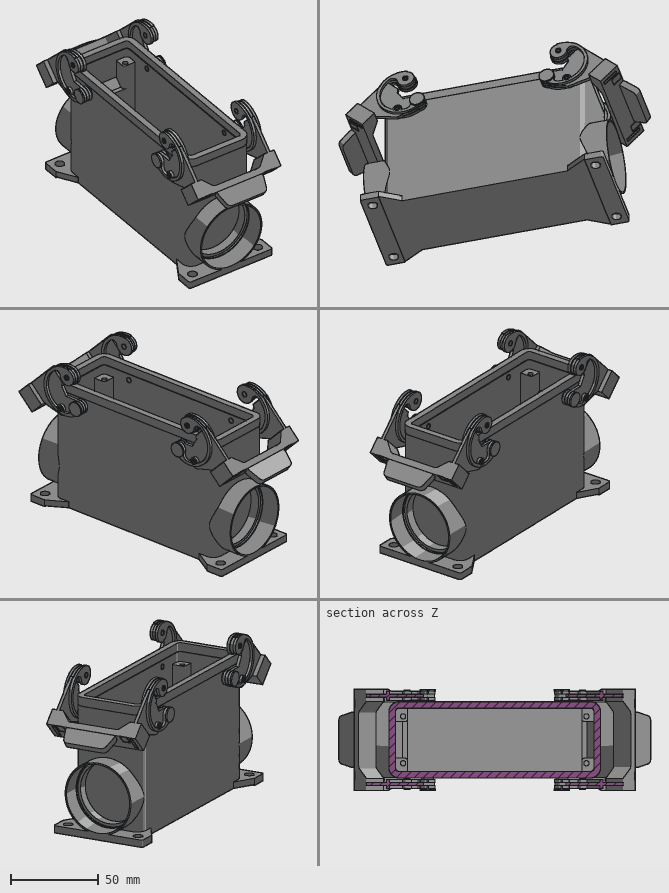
import math

import cadquery as cq

BODY_LENGTH = 121.2
BODY_WIDTH = 43.8
BODY_TOP = 80.0
BODY_BOTTOM = 0.5
BODY_CORNER_RADIUS = 6.0
RIM_BOTTOM = 74.6
RIM_OVERHANG = 0.1
RIM_WALL = 3.9
RIM_CORNER_RADIUS = 1.9
WALL = 3.3
FLOOR_TOP = 4.4
CAVITY_LENGTH = BODY_LENGTH - 2 * (RIM_OVERHANG + WALL)
CAVITY_WIDTH = BODY_WIDTH - 2 * (RIM_OVERHANG + WALL)
CAVITY_CORNER_RADIUS = 2.6

WALL_OVERLAP = 1.0
BLOCK_INNER_X = 49.8
BLOCK_TOP = 52.4
RAMP_START_X = 52.7
POST_TOP = 68.5
POST_INNER_Y = 10.5
POST_EDGE_RADIUS = 1.5
POST_HOLE_DIAMETER = 3.0
POST_HOLE_X = 52.4
POST_HOLE_Y = 13.4
POST_HOLE_DEPTH = 15.0

PORT_END_X = 72.0
PORT_Z = 24.8
PORT_RADIUS = 21.5
PORT_BORE_RADIUS = 20.6
PORT_BORE_END_X = 60.7
PORT_STEP_RADIUS = 20.1
PORT_STEP_END_X = 59.4
PORT_SEAT_RADIUS = 18.4
PORT_SEAT_END_X = 53.7
PORT_ROOT_X = 54.0

FOOT_HALF_WIDTH = 29.0
FOOT_TOP = 4.4
FOOT_PAD_X = 61.0
FOOT_TIP_X = 49.0
FOOT_CORNER_RADIUS = 1.2
FOOT_HOLE_DIAMETER = 5.5
FOOT_HOLE_X = 66.0
FOOT_HOLE_Y = 22.8

HOOK_INNER_Y = 22.6
HOOK_OUTER_Y = 27.9
ARM_INNER_Y = 24.3
ARM_OUTER_Y = 26.2
HOOK_X = -47.1
HOOK_Z = 78.54
HOOK_RADIUS = 15.4
HOOK_INNER_RADIUS = 13.5
ARM_HOOK_RADIUS = 14.9
CURL_X = -45.3
CURL_Z = 88.2
OUTER_CURL_RADIUS = 5.0
INNER_CURL_RADIUS = 5.6
ARM_CURL_RADIUS = 4.9
THROAT_RADIUS = 3.0
RIVET_X = -50.2
RIVET_Z = 66.4
RIVET_BOSS_RADIUS = 2.5
RIVET_RADIUS = 1.6
RIVET_HOLE_RADIUS = 0.9
RIVET_INNER_Y = 22.2
RIVET_OUTER_Y = 28.4

PIN_X = -38.4
PIN_Z = 70.4
PIN_HEAD_RADIUS = 4.4
PIN_SHANK_RADIUS = 3.5
PIN_EYE_RADIUS = 4.3
ARM_EYE_RADIUS = 4.0
ARM_EDGE_Z = 74.7
ARM_EDGE_START_X = -47.2
ARM_EDGE_END_X = -41.0
ARM_SHOULDER_X = -57.7
ARM_NOSE = (-50.2, 82.8)
ARM_NOSE_FOOT = (-50.7, 80.3)
ARM_BELLY = (-50.6, 61.4)
ARM_BELLY_END = (-45.5, 63.4)
PIN_OUTER_Y = 28.9
PIN_HEAD_INNER_Y = 28.0
PIN_TAIL_RADIUS = 1.6
PIN_TAIL_DEPTH = 0.4

BAR_TOP_X = -73.4
BAR_TOP_Z = 74.8
BAR_THICKNESS = 10.0
BAR_DEPTH = 14.0
BAR_TILT = 45.0
BAR_HALF_WIDTH = 29.0
RELIEF_DEPTH = 6.2
RELIEF_FLOOR_HALF_WIDTH = 16.0
RELIEF_MOUTH_HALF_WIDTH = 22.0
RELIEF_RADIUS = 2.5
RECESS_DEPTH = 0.3
SLOT_TOP = 2.1
SLOT_BOTTOM = 12.2
POCKET_TOP = 0.4
POCKET_BOTTOM = 6.8
POCKET_INNER_Y = 18.4
POCKET_OUTER_Y = 23.0
HANDLE_TIP_X = -89.245
HANDLE_TIP_Z = 61.5
HANDLE_TILT = 35.0
HANDLE_LENGTH = 10.8
HANDLE_TAPER_LENGTH = 9.0
HANDLE_THICKNESS = 4.0
HANDLE_TIP_HALF_WIDTH = 13.3
HANDLE_ROOT_HALF_WIDTH = 15.8
HANDLE_CORNER_RADIUS = 3.0


def both_ends(shape):
    return shape.union(shape.mirror("YZ"))


def both_sides(shape):
    return shape.union(shape.mirror("XZ"))


def box_between(x0, x1, y0, y1, z0, z1):
    return cq.Workplane("XY").box(x1 - x0, y1 - y0, z1 - z0, centered=False).translate((x0, y0, z0))


def plane_at_y(y):
    """XZ sketch plane at a given Y, facing -Y, so a negative extrusion goes toward +Y."""
    return cq.Workplane(cq.Plane(origin=(0, y, 0), xDir=(1, 0, 0), normal=(0, -1, 0)))


def disc(x, z, radius, y0, y1):
    return plane_at_y(y0).center(x, z).circle(radius).extrude(y0 - y1)


def port_cylinder(radius, x0, x1):
    return cq.Workplane("YZ", origin=(x0, 0, 0)).center(0, PORT_Z).circle(radius).extrude(x1 - x0)


def rounded_block(length, width, corner_radius, z0, z1):
    block = cq.Workplane("XY", origin=(0, 0, z0)).rect(length, width).extrude(z1 - z0)
    return block.edges("|Z").fillet(corner_radius)


def make_shell():
    """Open box whose rim stands slightly proud of the walls, inside and outside."""
    step = 2 * RIM_OVERHANG
    body = rounded_block(BODY_LENGTH - step, BODY_WIDTH - step, BODY_CORNER_RADIUS, BODY_BOTTOM, RIM_BOTTOM)
    rim = rounded_block(BODY_LENGTH, BODY_WIDTH, BODY_CORNER_RADIUS, RIM_BOTTOM, BODY_TOP)
    cavity = rounded_block(CAVITY_LENGTH, CAVITY_WIDTH, CAVITY_CORNER_RADIUS, FLOOR_TOP, RIM_BOTTOM)
    mouth_length = BODY_LENGTH - 2 * RIM_WALL
    mouth_width = BODY_WIDTH - 2 * RIM_WALL
    mouth = rounded_block(mouth_length, mouth_width, RIM_CORNER_RADIUS, RIM_BOTTOM, BODY_TOP)
    return body.cut(cavity).union(rim.cut(mouth))


def make_end_block():
    """Block behind the port, with a ramp rising to the end wall."""
    wall_x = -CAVITY_LENGTH / 2
    ramp_rise = -RAMP_START_X - wall_x
    back_x = wall_x - WALL_OVERLAP
    half_width = CAVITY_WIDTH / 2 + WALL_OVERLAP
    profile = [
        (back_x, FLOOR_TOP),
        (-BLOCK_INNER_X, FLOOR_TOP),
        (-BLOCK_INNER_X, BLOCK_TOP),
        (-RAMP_START_X, BLOCK_TOP),
        (wall_x, BLOCK_TOP + ramp_rise),
        (back_x, BLOCK_TOP + ramp_rise),
    ]
    return plane_at_y(-half_width).polyline(profile).close().extrude(-2 * half_width)


def make_post():
    back_x = -CAVITY_LENGTH / 2 - WALL_OVERLAP
    back_y = CAVITY_WIDTH / 2 + WALL_OVERLAP
    post = box_between(back_x, -BLOCK_INNER_X, POST_INNER_Y, back_y, FLOOR_TOP, POST_TOP)
    post = post.edges("|Z and >X and <Y").fillet(POST_EDGE_RADIUS)
    hole = cq.Workplane("XY", origin=(-POST_HOLE_X, POST_HOLE_Y, POST_TOP))
    return post.cut(hole.circle(POST_HOLE_DIAMETER / 2).extrude(-POST_HOLE_DEPTH))


def make_foot():
    half_body = BODY_WIDTH / 2
    outline = [
        (-PORT_END_X, -FOOT_HALF_WIDTH),
        (-FOOT_PAD_X, -FOOT_HALF_WIDTH),
        (-FOOT_TIP_X, -half_body),
        (-FOOT_TIP_X, half_body),
        (-FOOT_PAD_X, FOOT_HALF_WIDTH),
        (-PORT_END_X, FOOT_HALF_WIDTH),
    ]
    foot = cq.Workplane("XY").polyline(outline).close().extrude(FOOT_TOP)
    foot = foot.edges("|Z and <X").fillet(FOOT_CORNER_RADIUS)
    foot = foot.cut(box_between(-FOOT_PAD_X, 0, -FOOT_HALF_WIDTH, FOOT_HALF_WIDTH, 0, BODY_BOTTOM))
    holes = cq.Workplane("XY").pushPoints([(-FOOT_HOLE_X, -FOOT_HOLE_Y), (-FOOT_HOLE_X, FOOT_HOLE_Y)])
    return foot.cut(holes.circle(FOOT_HOLE_DIAMETER / 2).extrude(FOOT_TOP))


def make_housing():
    end = make_end_block()
    end = end.union(both_sides(make_post()))
    end = end.union(port_cylinder(PORT_RADIUS, -PORT_END_X, -PORT_ROOT_X))
    end = end.union(make_foot())
    housing = make_shell().union(both_ends(end))
    bore = port_cylinder(PORT_BORE_RADIUS, -PORT_END_X, -PORT_BORE_END_X)
    bore = bore.union(port_cylinder(PORT_STEP_RADIUS, -PORT_END_X, -PORT_STEP_END_X))
    bore = bore.union(port_cylinder(PORT_SEAT_RADIUS, -PORT_END_X, -PORT_SEAT_END_X))
    return housing.cut(both_ends(bore))


def polar(x, z, distance, angle):
    return (x + distance * math.cos(angle), z + distance * math.sin(angle))


def direction_from_hook(x, z):
    return math.atan2(z - HOOK_Z, x - HOOK_X)


def make_neck(end_x, end_z, end_radius, turn, hook_radius, y0, y1):
    """Web joining the band to a round end, with a throat arc tangent to both.

    The throat lies counterclockwise of the end for turn = 1, clockwise for turn = -1.
    """
    end_distance = math.hypot(end_x - HOOK_X, end_z - HOOK_Z)
    end_direction = direction_from_hook(end_x, end_z)
    throat_distance = HOOK_INNER_RADIUS - THROAT_RADIUS
    throat_to_end = end_radius + THROAT_RADIUS
    cosine = (end_distance**2 + throat_distance**2 - throat_to_end**2) / (2 * end_distance * throat_distance)
    throat_direction = end_direction + turn * math.acos(cosine)
    throat = polar(HOOK_X, HOOK_Z, throat_distance, throat_direction)
    outline = [
        (end_x, end_z),
        throat,
        polar(HOOK_X, HOOK_Z, hook_radius, throat_direction),
        polar(HOOK_X, HOOK_Z, 2 * hook_radius, (throat_direction + end_direction) / 2),
        polar(HOOK_X, HOOK_Z, hook_radius, end_direction),
    ]
    web = plane_at_y(y0).polyline(outline).close().extrude(y0 - y1)
    web = web.intersect(disc(HOOK_X, HOOK_Z, hook_radius, y0, y1))
    return web.cut(disc(*throat, THROAT_RADIUS, y0, y1))


def make_hook(hook_radius, curl_radius, eye_radius, y0, y1):
    """C-shaped band from the curl, around the outside, to the pivot eye."""
    band = disc(HOOK_X, HOOK_Z, hook_radius, y0, y1)
    band = band.cut(disc(HOOK_X, HOOK_Z, HOOK_INNER_RADIUS, y0, y1))
    reach = 2 * hook_radius
    curl_direction = direction_from_hook(CURL_X, CURL_Z)
    pin_direction = direction_from_hook(PIN_X, PIN_Z)
    opening = [(HOOK_X, HOOK_Z)]
    for angle in (curl_direction, (curl_direction + pin_direction) / 2, pin_direction):
        opening.append(polar(HOOK_X, HOOK_Z, reach, angle))
    band = band.cut(plane_at_y(y0).polyline(opening).close().extrude(y0 - y1))
    for x, z, radius, turn in ((CURL_X, CURL_Z, curl_radius, 1), (PIN_X, PIN_Z, eye_radius, -1)):
        band = band.union(make_neck(x, z, radius, turn, hook_radius, y0, y1))
        band = band.union(disc(x, z, radius, y0, y1))
    return band


def make_hook_plate(curl_radius, y0, y1):
    plate = make_hook(HOOK_RADIUS, curl_radius, PIN_EYE_RADIUS, y0, y1)
    return plate.union(disc(RIVET_X, RIVET_Z, RIVET_BOSS_RADIUS, y0, y1))


def make_arm():
    """Flat sheet joining the cross bar to the pivot pin, hooked like the plates beside it."""
    tilt = math.radians(BAR_TILT)
    bar_inner_x = BAR_TOP_X + BAR_DEPTH * math.sin(tilt)
    bar_inner_z = BAR_TOP_Z - BAR_DEPTH * math.cos(tilt)
    shoulder_rise = (ARM_SHOULDER_X - BAR_TOP_X) / math.tan(tilt)
    outline = [
        (bar_inner_x, bar_inner_z),
        (BAR_TOP_X, BAR_TOP_Z),
        (ARM_SHOULDER_X, BAR_TOP_Z + shoulder_rise),
        ARM_NOSE,
        ARM_NOSE_FOOT,
        (ARM_EDGE_START_X, ARM_EDGE_Z),
        (ARM_EDGE_END_X, ARM_EDGE_Z),
        (PIN_X, PIN_Z + ARM_EYE_RADIUS),
        (PIN_X, PIN_Z - ARM_EYE_RADIUS),
        ARM_BELLY_END,
        ARM_BELLY,
    ]
    sheet = plane_at_y(ARM_INNER_Y).polyline(outline).close().extrude(ARM_INNER_Y - ARM_OUTER_Y)
    return sheet.union(make_hook(ARM_HOOK_RADIUS, ARM_CURL_RADIUS, ARM_EYE_RADIUS, ARM_INNER_Y, ARM_OUTER_Y))


def make_rivet(x, z):
    rivet = disc(x, z, RIVET_RADIUS, RIVET_INNER_Y, RIVET_OUTER_Y)
    return rivet.cut(disc(x, z, RIVET_HOLE_RADIUS, HOOK_OUTER_Y, RIVET_OUTER_Y))


def make_pin():
    shank = disc(PIN_X, PIN_Z, PIN_SHANK_RADIUS, CAVITY_WIDTH / 2 + WALL_OVERLAP, PIN_OUTER_Y)
    return shank.union(disc(PIN_X, PIN_Z, PIN_HEAD_RADIUS, PIN_HEAD_INNER_Y, PIN_OUTER_Y))


def make_bar_recesses():
    """Shallow recesses in the bar face under the handle: one at the arm sheet, one beside the handle."""
    back = -BAR_THICKNESS
    front = back + RECESS_DEPTH
    slot = box_between(back, front, ARM_INNER_Y, ARM_OUTER_Y, -SLOT_BOTTOM, -SLOT_TOP)
    pocket = box_between(back, front, POCKET_INNER_Y, POCKET_OUTER_Y, -POCKET_BOTTOM, -POCKET_TOP)
    return both_sides(slot.union(pocket))


def make_bar():
    bar = box_between(-BAR_THICKNESS, 0, -BAR_HALF_WIDTH, BAR_HALF_WIDTH, -BAR_DEPTH, 0)
    relief_outline = [
        (-RELIEF_DEPTH, -RELIEF_FLOOR_HALF_WIDTH),
        (0, -RELIEF_MOUTH_HALF_WIDTH),
        (0, RELIEF_MOUTH_HALF_WIDTH),
        (-RELIEF_DEPTH, RELIEF_FLOOR_HALF_WIDTH),
    ]
    relief = cq.Workplane("XY").polyline(relief_outline).close().extrude(-BAR_DEPTH)
    relief = relief.edges("|Z and <X").fillet(RELIEF_RADIUS)
    bar = bar.cut(relief).cut(make_bar_recesses())
    bar = bar.rotate((0, 0, 0), (0, 1, 0), -BAR_TILT)
    return bar.translate((BAR_TOP_X, 0, BAR_TOP_Z))


def make_handle():
    outline = [
        (0, -HANDLE_TIP_HALF_WIDTH),
        (HANDLE_TAPER_LENGTH, -HANDLE_ROOT_HALF_WIDTH),
        (HANDLE_LENGTH, -HANDLE_ROOT_HALF_WIDTH),
        (HANDLE_LENGTH, HANDLE_ROOT_HALF_WIDTH),
        (HANDLE_TAPER_LENGTH, HANDLE_ROOT_HALF_WIDTH),
        (0, HANDLE_TIP_HALF_WIDTH),
    ]
    handle = cq.Workplane("XY").polyline(outline).close().extrude(-HANDLE_THICKNESS)
    handle = handle.edges("|Z and <X").fillet(HANDLE_CORNER_RADIUS)
    handle = handle.rotate((0, 0, 0), (0, 1, 0), -HANDLE_TILT)
    return handle.translate((HANDLE_TIP_X, 0, HANDLE_TIP_Z))


def make_lever():
    side = make_arm()
    side = side.union(make_hook_plate(INNER_CURL_RADIUS, HOOK_INNER_Y, ARM_INNER_Y))
    side = side.union(make_hook_plate(OUTER_CURL_RADIUS, ARM_OUTER_Y, HOOK_OUTER_Y))
    side = side.union(make_rivet(CURL_X, CURL_Z))
    side = side.union(make_rivet(RIVET_X, RIVET_Z))
    side = side.union(make_pin())
    return make_bar().union(make_handle()).union(both_sides(side))


def make_pin_tail():
    """Shallow round recess inside the cavity wall behind a pivot pin."""
    inner_y = CAVITY_WIDTH / 2
    return disc(PIN_X, PIN_Z, PIN_TAIL_RADIUS, inner_y, inner_y + PIN_TAIL_DEPTH)


result = make_housing().union(both_ends(make_lever()))
result = result.cut(both_ends(both_sides(make_pin_tail())))